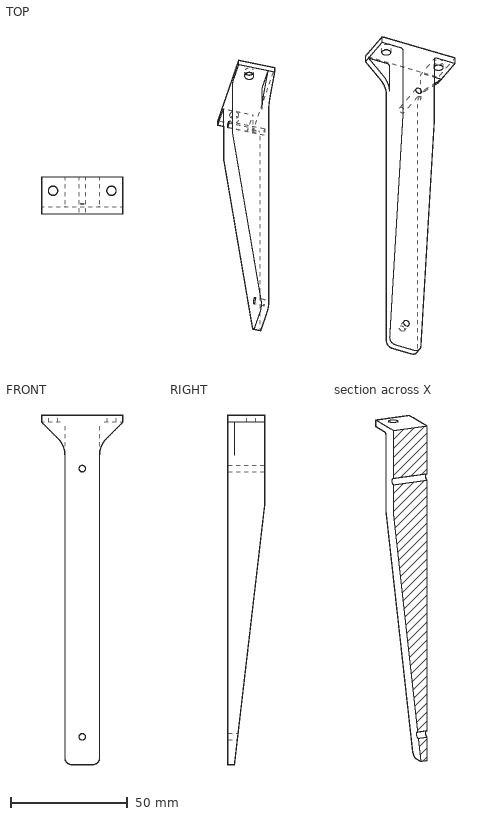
import cadquery as cq
import math

height = 150.0
flange_width = 35.0
depth = 16.0

plate_thickness = 3.0
flange_thickness = 3.0
stem_width = 15.0
gusset_angle = 45.0
gusset_blend_radius = 10.0
bottom_corner_radius = 3.0

taper_start_below_top = 38.0
rib_fillet_radius = 1.0

flange_hole_diameter = 3.9
flange_hole_spacing = 25.0
flange_hole_from_back = 6.0
stem_hole_diameter = 2.7
stem_hole_heights = (12.0, 127.0)

half_stem = stem_width / 2
half_flange = flange_width / 2
flange_bottom = height - flange_thickness


def make_plate():
    """Front plate: a straight stem that flares out to the flange width."""
    gusset_drop = (half_flange - half_stem) * math.tan(math.radians(gusset_angle))
    gusset_bottom = flange_bottom - gusset_drop
    plate = (
        cq.Workplane("XZ")
        .polyline([
            (-half_stem, 0),
            (half_stem, 0),
            (half_stem, gusset_bottom),
            (half_flange, flange_bottom),
            (half_flange, height),
            (-half_flange, height),
            (-half_flange, flange_bottom),
            (-half_stem, gusset_bottom),
        ])
        .close()
        .extrude(-plate_thickness)
    )
    for x in (-half_stem, half_stem):
        inner_corner = cq.selectors.NearestToPointSelector((x, plate_thickness / 2, gusset_bottom))
        plate = plate.edges(inner_corner).fillet(gusset_blend_radius)
    return plate


def make_flange_and_rib():
    """Top flange with the tapered rib below it, blended where they meet."""
    rib = (
        cq.Workplane("YZ")
        .polyline([
            (0, 0),
            (plate_thickness, 0),
            (depth, height - taper_start_below_top),
            (depth, height),
            (0, height),
        ])
        .close()
        .extrude(half_stem, both=True)
    )
    flange = cq.Workplane("XY", origin=(0, depth / 2, flange_bottom + flange_thickness / 2)).box(
        flange_width, depth, flange_thickness
    )
    body = flange.union(rib)
    for x in (-half_stem, half_stem):
        joint = cq.selectors.NearestToPointSelector((x, depth / 2, flange_bottom))
        body = body.edges(joint).fillet(rib_fillet_radius)
    return body


def make_flange_holes():
    """Vertical screw holes through the flange on both sides of the rib."""
    return (
        cq.Workplane("XY", origin=(0, depth - flange_hole_from_back, flange_bottom))
        .pushPoints([(-flange_hole_spacing / 2, 0), (flange_hole_spacing / 2, 0)])
        .circle(flange_hole_diameter / 2)
        .extrude(flange_thickness)
    )


def make_stem_holes():
    """Holes on the centre line running from the front face through the rib."""
    return (
        cq.Workplane("XZ")
        .pushPoints([(0, z) for z in stem_hole_heights])
        .circle(stem_hole_diameter / 2)
        .extrude(-depth)
    )


def round_bottom_corners(bracket):
    """Round both lower corners of the stem through its full depth."""
    for x in (-half_stem, half_stem):
        bottom_corner = cq.selectors.NearestToPointSelector((x, plate_thickness / 2, 0))
        bracket = bracket.edges(bottom_corner).fillet(bottom_corner_radius)
    return bracket


bracket = round_bottom_corners(make_plate().union(make_flange_and_rib()).clean())
result = bracket.cut(make_flange_holes()).cut(make_stem_holes())